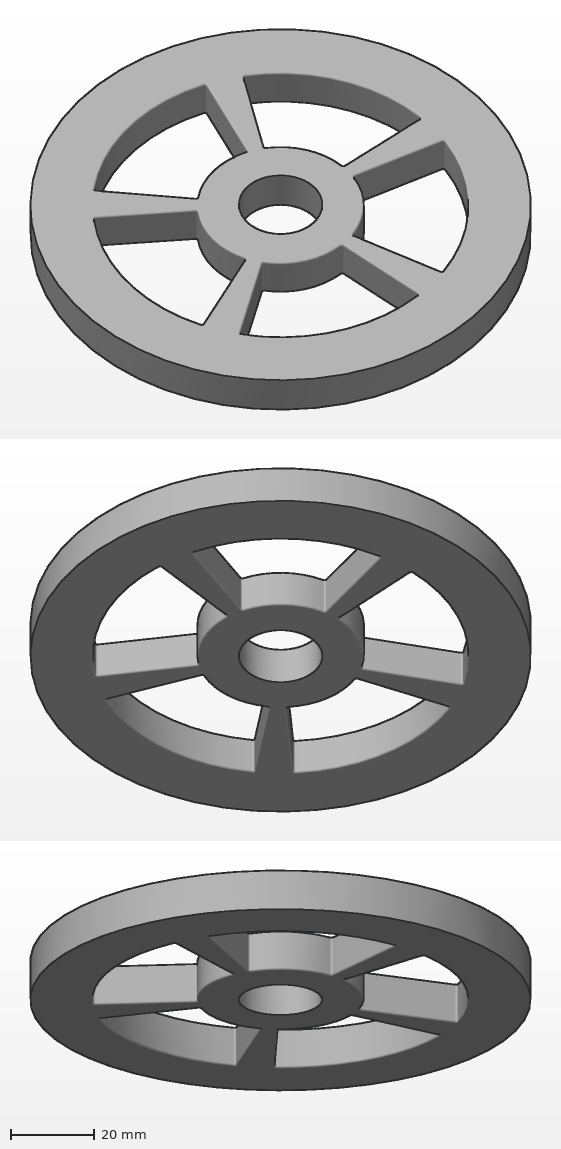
import cadquery as cq
import math

wheel_diameter = 120.0
thickness = 10.0
bore_diameter = wheel_diameter / 6

window_count = 5
window_inner_radius = bore_diameter
window_outer_radius = 45.0
window_angle = 60.0
edge_round = 0.5

pitch_angle = 360.0 / window_count
top_window_angle = 90.0


def polar_point(radius, angle):
    """Point at a radius and an angle in degrees from +X."""
    return (radius * math.cos(math.radians(angle)), radius * math.sin(math.radians(angle)))


def window(center_angle):
    """Ring-sector opening with straight radial sides and rounded corners."""
    start_angle = center_angle - window_angle / 2
    end_angle = center_angle + window_angle / 2
    return (
        cq.Workplane("XY")
        .moveTo(*polar_point(window_inner_radius, start_angle))
        .lineTo(*polar_point(window_outer_radius, start_angle))
        .threePointArc(
            polar_point(window_outer_radius, center_angle),
            polar_point(window_outer_radius, end_angle),
        )
        .lineTo(*polar_point(window_inner_radius, end_angle))
        .threePointArc(
            polar_point(window_inner_radius, center_angle),
            polar_point(window_inner_radius, start_angle),
        )
        .close()
        .extrude(thickness)
        .edges("|Z")
        .fillet(edge_round)
    )


wheel = cq.Workplane("XY").circle(wheel_diameter / 2).extrude(thickness)
for index in range(window_count):
    wheel = wheel.cut(window(top_window_angle + index * pitch_angle))

wheel = wheel.faces("<Z or >Z").wires().edges("not %CIRCLE").fillet(edge_round)

result = wheel.faces(">Z").workplane().hole(bore_diameter)